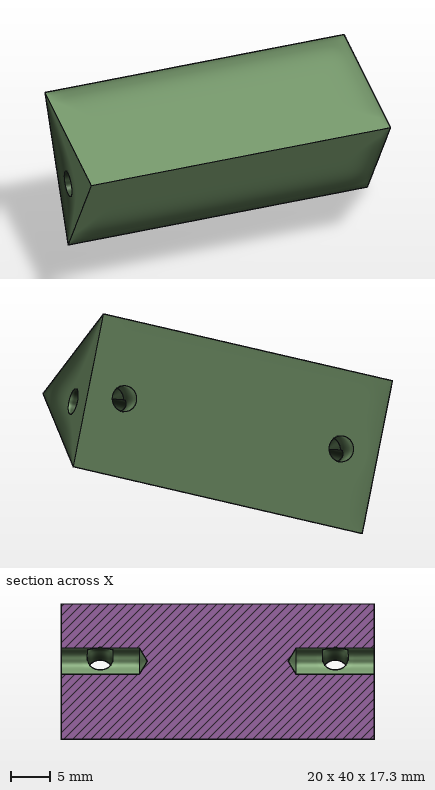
import cadquery as cq
import math

side = 20.0
length = 40.0
corner_angle = math.radians(60)
height = side * math.sin(corner_angle)

hole_diameter = 3.3
drill_point_angle = math.radians(118)
end_hole_depth = 10.0
end_hole_above_edge = 10.0
side_hole_depth = side / 4
side_hole_end_distance = 5.0


def drill_solid(depth):
    """Cylinder along +Z from the origin, ending in a drill-point cone."""
    radius = hole_diameter / 2
    point_length = radius / math.tan(drill_point_angle / 2)
    profile = (
        cq.Workplane("XZ")
        .lineTo(radius, 0)
        .lineTo(radius, depth)
        .lineTo(0, depth + point_length)
        .close()
    )
    return profile.revolve(360, (0, 0, 0), (0, 1, 0)).val()


def cut_hole(body, mouth, direction, depth):
    """Cut a drilled hole into the body from its mouth along the direction."""
    frame = cq.Plane(origin=mouth, normal=direction)
    return body.cut(cq.Workplane(drill_solid(depth).moved(cq.Location(frame))))


result = (
    cq.Workplane("XZ")
    .polyline([(-side / 2, 0), (side / 2, 0), (0, -height)])
    .close()
    .extrude(length / 2, both=True)
)

face_inward = (math.sin(corner_angle), 0, math.cos(corner_angle))
for end in (-1, 1):
    end_mouth = (0, end * length / 2, end_hole_above_edge - height)
    result = cut_hole(result, end_mouth, (0, -end, 0), end_hole_depth)

    side_mouth = (-side / 4, end * (length / 2 - side_hole_end_distance), -height / 2)
    result = cut_hole(result, side_mouth, face_inward, side_hole_depth)